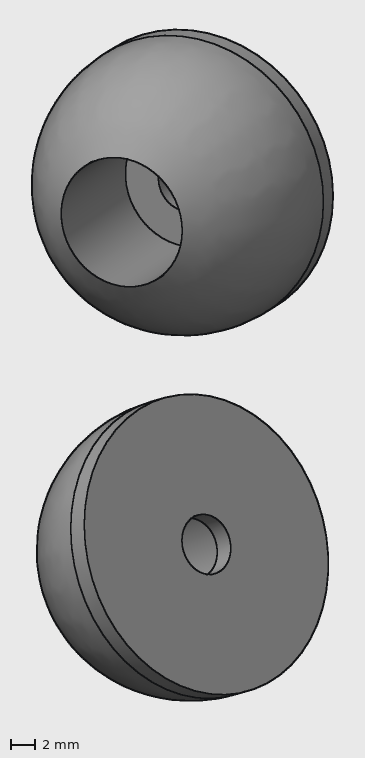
import cadquery as cq

outer_radius = 12.5
total_depth = 14.0
plate_thickness = 1.85
bore_radius = 5.5
plate_hole_radius = 2.5

front_y = -total_depth / 2
back_y = total_depth / 2
joint_y = back_y - plate_thickness

dome_depth = joint_y - front_y
radial_drop = outer_radius - bore_radius
arc_radius = (dome_depth**2 + radial_drop**2) / (2 * radial_drop)


def make_dome():
    """Rounded shell with a straight bore that meets its surface in a sharp rim."""
    arc_center_x = outer_radius - arc_radius
    mid_y = joint_y - dome_depth / 2
    mid_x = arc_center_x + (arc_radius**2 - (dome_depth / 2) ** 2) ** 0.5
    return (
        cq.Workplane("XY")
        .moveTo(bore_radius, joint_y)
        .lineTo(outer_radius, joint_y)
        .threePointArc((mid_x, mid_y), (bore_radius, front_y))
        .close()
        .revolve(360, (0, 0, 0), (0, 1, 0))
    )


def make_back_plate():
    """Round plate with a central hole, closing the back of the dome."""
    return (
        cq.Workplane("XZ", origin=(0, back_y, 0))
        .circle(outer_radius)
        .circle(plate_hole_radius)
        .extrude(plate_thickness)
    )


dome = make_dome()
back_plate = make_back_plate()

result = cq.Compound.makeCompound([dome.val(), back_plate.val()])